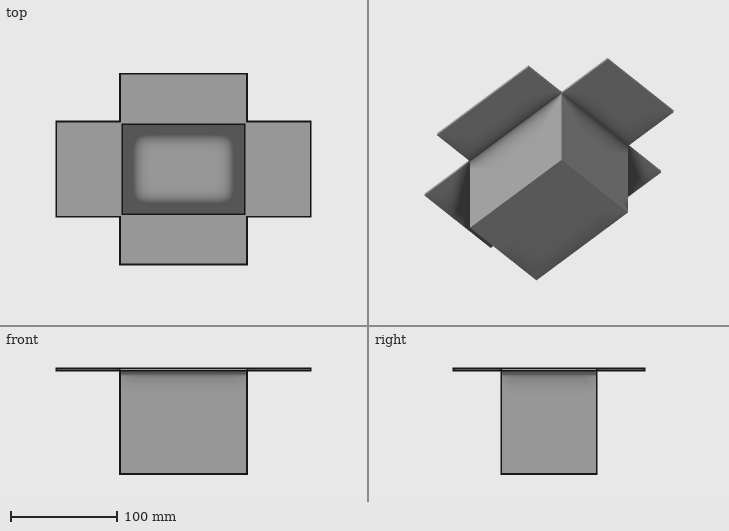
import cadquery as cq

box_length = 120.0
box_width = 90.0
box_height = 100.0
board_thickness = 2.5

end_flap_reach = box_length / 2
side_flap_reach = box_width / 2


def make_block(length, width, bottom, top):
    """Rectangular block centred on the Z axis, between two heights."""
    return cq.Workplane("XY").workplane(offset=bottom).rect(length, width).extrude(top - bottom)


def make_flap_strip(length, width):
    """Flat strip level with the rim, forming a pair of opposite flaps."""
    return make_block(length, width, box_height - board_thickness, box_height)


def make_cavity():
    """Inside space of the box, from the floor up to the open rim."""
    inner_length = box_length - 2 * board_thickness
    inner_width = box_width - 2 * board_thickness
    return make_block(inner_length, inner_width, board_thickness, box_height)


box_outside = make_block(box_length, box_width, 0, box_height)
end_flaps = make_flap_strip(box_length + 2 * end_flap_reach, box_width)
side_flaps = make_flap_strip(box_length, box_width + 2 * side_flap_reach)

result = box_outside.union(end_flaps).union(side_flaps).cut(make_cavity())